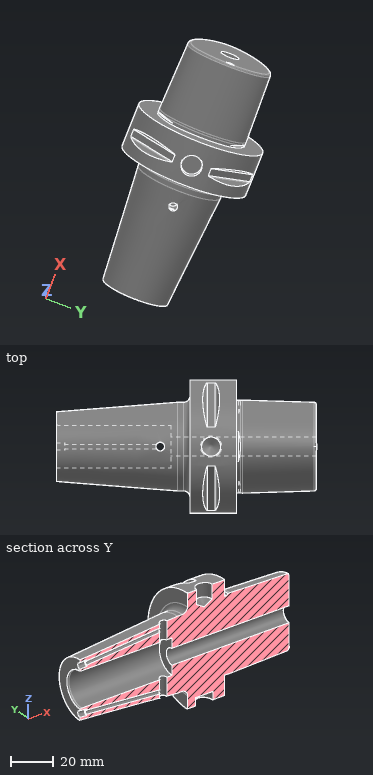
import math
import cadquery as cq


nose_radius = 33 / 2
body_radius = 42 / 2
body_taper = math.radians(4.5)
cone_length = (body_radius - nose_radius) / math.tan(body_taper)

flange_radius = 63 / 2
flange_start = 63
flange_width = 22
flange_end = flange_start + flange_width
body_fillet = 3
groove_to_shank_face = 12
flange_groove_x = flange_end - groove_to_shank_face

slot_floor_distance = 27.8
slot_floor_width = 3.6
slot_step_width = 4.4
slot_step_height = 0.4
slot_mouth_width = 8
slot_directions = (45, 135, 225, 315)

index_hole_diameter = 9
index_hole_depth = 8
index_hole_point_angle = math.radians(118)
chip_hole_diameter = 10
chip_hole_depth = 4.5

shank_length = 37.7
shank_end = flange_end + shank_length
polygon_radius = 44 / 2
polygon_eccentricity = 1.4
polygon_points = 120
shank_taper = 0.03
shank_straight_end = flange_end + 1.8
shank_taper_start = flange_end + 2.9
neck_reduction = 0.05
shank_end_fillet = 1.2

relief_radius = 22.4
relief_width = 0.9
relief_outer_radius = 24

mark_width = 3.8
mark_height = 0.3
mark_thickness = 0.8
mark_z = -17.9

bore_radius = 20 / 2
bore_entry_radius = 20.5 / 2
bore_entry_length = 1
bore_depth = 54
through_radius = 8.92 / 2

channel_offset = 13
channel_mouth_diameter = 3.3
channel_mouth_depth = 4
channel_diameter = 2
nose_overlap = 1
cross_hole_diameter = 4
cross_hole_x = 49


def polygon_wire(x, radius):
    """Closed three-lobed outline at station x, with one lobe pointing to +Z."""

    def point(t):
        angle = 2 * math.pi * t
        e = polygon_eccentricity
        along_lobe = radius * math.cos(angle) + 2 * e * math.cos(2 * angle) - e * math.cos(4 * angle)
        across = radius * math.sin(angle) - 2 * e * math.sin(2 * angle) - e * math.sin(4 * angle)
        return across, along_lobe

    return cq.Workplane("YZ", origin=(x, 0, 0)).parametricCurve(point, N=polygon_points).wires().val()


def polygon_section(x_start, radius_start, x_end, radius_end):
    wires = [polygon_wire(x_start, radius_start), polygon_wire(x_end, radius_end)]
    return cq.Workplane(obj=cq.Solid.makeLoft(wires, True))


def make_body():
    """Nose cone, short cylinder, fillet and flange as one turned profile."""
    fillet_start = flange_start - body_fillet
    arc_offset = body_fillet * math.sqrt(0.5)
    fillet_middle = (fillet_start + arc_offset, body_radius + body_fillet - arc_offset)
    return (
        cq.Workplane("XY")
        .moveTo(0, 0)
        .lineTo(0, nose_radius)
        .lineTo(cone_length, body_radius)
        .lineTo(fillet_start, body_radius)
        .threePointArc(fillet_middle, (flange_start, body_radius + body_fillet))
        .lineTo(flange_start, flange_radius)
        .lineTo(flange_end, flange_radius)
        .lineTo(flange_end, 0)
        .close()
        .revolve(360, (0, 0, 0), (1, 0, 0))
    )


def make_lobe_relief():
    """Ring that trims the lobe tips to a circle, with a 45 degree runout."""
    runout_start = flange_end + relief_width
    return (
        cq.Workplane("XY")
        .moveTo(flange_end, relief_radius)
        .lineTo(runout_start, relief_radius)
        .lineTo(runout_start + relief_outer_radius - relief_radius, relief_outer_radius)
        .lineTo(flange_end, relief_outer_radius)
        .close()
        .revolve(360, (0, 0, 0), (1, 0, 0))
    )


def make_shank():
    neck_radius = polygon_radius - neck_reduction
    end_radius = polygon_radius - shank_taper * (shank_end - shank_taper_start)
    cone = polygon_section(shank_taper_start, polygon_radius, shank_end, end_radius)
    cone = cone.faces(">X").edges().fillet(shank_end_fillet)
    blend = polygon_section(shank_straight_end, neck_radius, shank_taper_start, polygon_radius)
    neck = polygon_section(flange_end, neck_radius, shank_straight_end, neck_radius)
    return cone.union(blend).union(neck).cut(make_lobe_relief())


def make_orientation_mark():
    """Small arched ridge standing on the shank end face."""
    return (
        cq.Workplane("XY", origin=(0, 0, mark_z - mark_thickness / 2))
        .moveTo(shank_end, -mark_width / 2)
        .threePointArc((shank_end + mark_height, 0), (shank_end, mark_width / 2))
        .lineTo(shank_end - mark_height, mark_width / 2)
        .lineTo(shank_end - mark_height, -mark_width / 2)
        .close()
        .extrude(mark_thickness)
    )


def make_bore():
    return (
        cq.Workplane("XY")
        .moveTo(0, 0)
        .lineTo(0, bore_entry_radius)
        .lineTo(bore_entry_length, bore_radius)
        .lineTo(bore_depth, bore_radius)
        .lineTo(bore_depth, through_radius)
        .lineTo(shank_end + mark_height, through_radius)
        .lineTo(shank_end + mark_height, 0)
        .close()
        .revolve(360, (0, 0, 0), (1, 0, 0))
    )


def make_gripper_slot(direction):
    """Straight slot with a flat floor, steep low walls and flared flanks, cut across the flange rim."""
    floor_half = slot_floor_width / 2
    step_half = slot_step_width / 2
    mouth_half = slot_mouth_width / 2
    step_distance = slot_floor_distance + slot_step_height
    return (
        cq.Workplane("XZ", origin=(flange_groove_x, 0, 0))
        .moveTo(-floor_half, slot_floor_distance)
        .lineTo(floor_half, slot_floor_distance)
        .lineTo(step_half, step_distance)
        .lineTo(mouth_half, flange_radius)
        .lineTo(-mouth_half, flange_radius)
        .lineTo(-step_half, step_distance)
        .close()
        .extrude(flange_radius, both=True)
        .rotate((0, 0, 0), (1, 0, 0), direction)
    )


def make_index_hole():
    """Drilled hole with a conical bottom in the top of the flange."""
    radius = index_hole_diameter / 2
    floor_z = flange_radius - index_hole_depth
    tip_z = floor_z - radius / math.tan(index_hole_point_angle / 2)
    return (
        cq.Workplane("XZ")
        .moveTo(0, tip_z)
        .lineTo(radius, floor_z)
        .lineTo(radius, flange_radius)
        .lineTo(0, flange_radius)
        .close()
        .revolve(360, (0, 0, 0), (0, 1, 0))
        .translate((flange_groove_x, 0, 0))
    )


def make_chip_hole():
    """Flat-bottomed hole in the underside of the flange."""
    return (
        cq.Workplane("XY", origin=(flange_groove_x, 0, -flange_radius))
        .circle(chip_hole_diameter / 2)
        .extrude(chip_hole_depth)
    )


def make_coolant_channel(side):
    """Channel running parallel to the cone from the nose to a radial hole; side is +1 or -1 in Z."""
    direction = cq.Vector(math.cos(body_taper), 0, side * math.sin(body_taper))
    start = cq.Vector(0, 0, side * channel_offset) - direction * nose_overlap
    channel_length = cross_hole_x / math.cos(body_taper)
    channel = cq.Solid.makeCylinder(channel_diameter / 2, channel_length, start, direction)
    mouth_length = channel_mouth_depth + nose_overlap
    mouth = cq.Solid.makeCylinder(channel_mouth_diameter / 2, mouth_length, start, direction)
    cross_hole = cq.Solid.makeCylinder(
        cross_hole_diameter / 2,
        flange_radius,
        cq.Vector(cross_hole_x, 0, 0),
        cq.Vector(0, 0, side),
    )
    return cq.Workplane(obj=channel).union(cq.Workplane(obj=mouth)).union(cq.Workplane(obj=cross_hole))


result = make_body().union(make_shank()).union(make_orientation_mark())
result = result.cut(make_bore())
for slot_direction in slot_directions:
    result = result.cut(make_gripper_slot(slot_direction))
result = result.cut(make_index_hole()).cut(make_chip_hole())
for channel_side in (1, -1):
    result = result.cut(make_coolant_channel(channel_side))